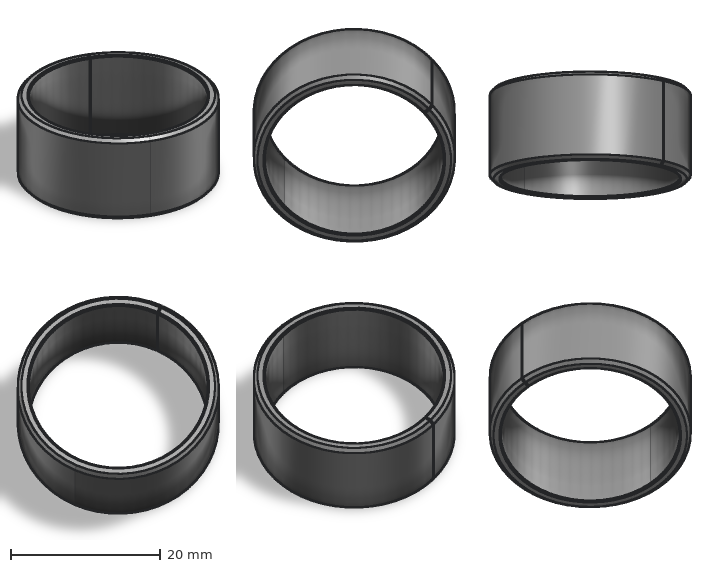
import cadquery as cq

outer_diameter = 27.0
inner_diameter = 24.0
height = 12.0
outer_chamfer = 0.5
inner_chamfer = 0.2

slit_width = 0.2

outer_radius = outer_diameter / 2
inner_radius = inner_diameter / 2
half_height = height / 2


def make_ring():
    """Revolve the wall section, with chamfered rims, about the Z axis."""
    section = [
        (inner_radius, -half_height + inner_chamfer),
        (inner_radius + inner_chamfer, -half_height),
        (outer_radius - outer_chamfer, -half_height),
        (outer_radius, -half_height + outer_chamfer),
        (outer_radius, half_height - outer_chamfer),
        (outer_radius - outer_chamfer, half_height),
        (inner_radius + inner_chamfer, half_height),
        (inner_radius, half_height - inner_chamfer),
    ]
    return cq.Workplane("XZ").polyline(section).close().revolve(360, (0, 0), (0, 1))


def make_slit():
    """Full-height cutter reaching from the axis out through the -X wall."""
    return cq.Workplane("XY").box(
        outer_diameter, slit_width, height, centered=(True, False, True)
    ).translate((-outer_radius, 0, 0))


result = make_ring().cut(make_slit())